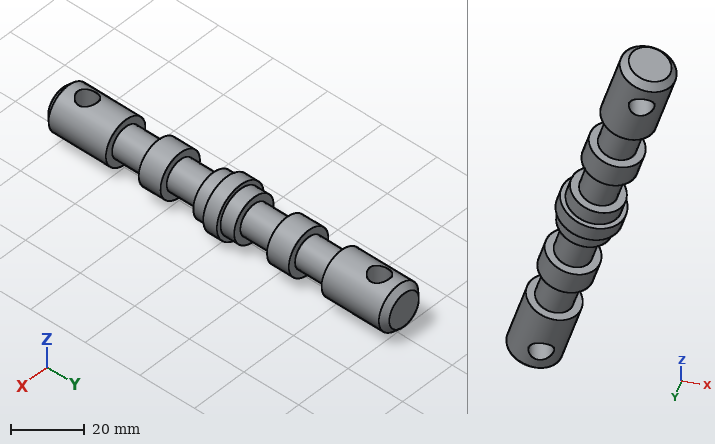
import cadquery as cq

half_length = 62.5
flange_diameter = 19.0
land_diameter = 16.0
neck_diameter = 11.0

flange_end = 2.5
centre_land_end = 7.5
middle_land_start = 19.5
middle_land_end = 27.5
end_land_start = 39.5

chamfer_length = 2.0
chamfer_depth = 2.0

hole_diameter = 7.0
hole_offset = 53.5


def cylinder(start, end, diameter):
    """Round bar along Y between two positions."""
    axis = cq.Vector(0, 1, 0)
    base = cq.Vector(0, start, 0)
    return cq.Workplane(cq.Solid.makeCylinder(diameter / 2, end - start, base, axis))


def chamfered_bar():
    """Bar of land diameter with a chamfer at each end."""
    bar = cylinder(-half_length, half_length, land_diameter)
    return bar.faces("<Y or >Y").edges().chamfer(chamfer_length, chamfer_depth)


def groove(start, end):
    """Ring that turns the bar down to the neck diameter."""
    outer = cylinder(start, end, flange_diameter)
    return outer.cut(cylinder(start, end, neck_diameter))


def cross_holes():
    """Through-hole cutters along Z, one near each end."""
    cutter = cq.Workplane("XY").pushPoints([(0, -hole_offset), (0, hole_offset)])
    return cutter.circle(hole_diameter / 2).extrude(land_diameter, both=True)


spool = chamfered_bar()
for start, end in [(centre_land_end, middle_land_start), (middle_land_end, end_land_start)]:
    spool = spool.cut(groove(start, end))
    spool = spool.cut(groove(-end, -start))

spool = spool.union(cylinder(-flange_end, flange_end, flange_diameter))
result = spool.cut(cross_holes())